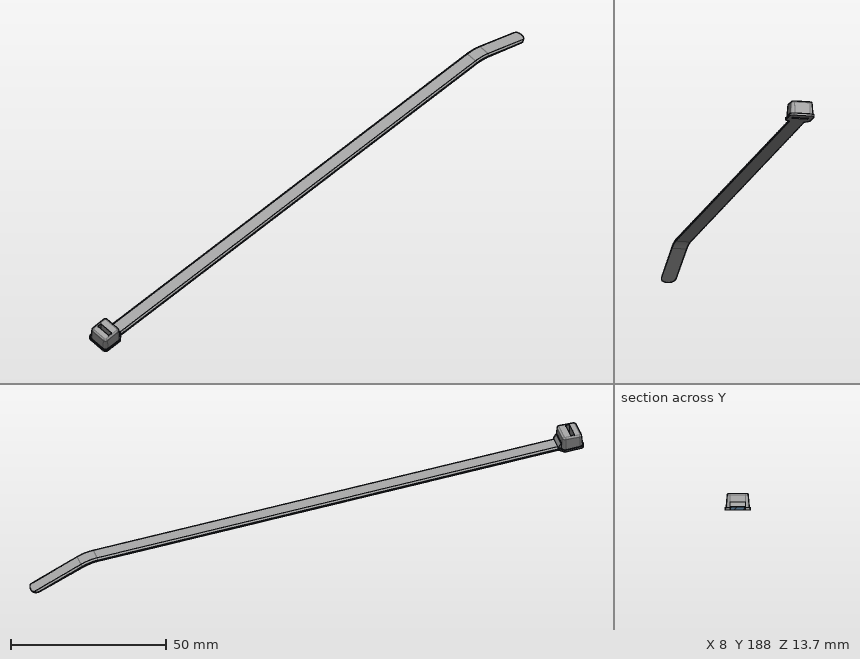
import cadquery as cq
import math

total_length = 188.0
strap_width = 4.9
strap_thickness = 1.1
strap_bevel = 0.5

bend_start = 165.8
bend_length = 5.0
bend_angle = 24.0
tip_thickness = 0.8
tip_radius = 2.35

flange_width = 8.0
flange_depth = 8.5
flange_thickness = 0.8
flange_front_radius = 1.1
flange_back_chamfer = 1.7

head_width = 7.7
head_depth = 7.3
head_front = 0.2
head_height = 5.5
head_draft = 5.0
head_slope = 4.0
head_corner_radius = 1.3
head_top_radius = 0.5

ramp_height = 1.5

slot_clearance = 0.2
slot_depth = 1.3
slot_center = 3.5

slot_width = strap_width + slot_clearance
head_center = head_front + head_depth / 2
head_back = head_front + head_depth
head_back_top = head_back - head_height * math.tan(math.radians(head_draft))
bend_turn = math.radians(bend_angle)
bend_radius = bend_length / math.sin(bend_turn)
bend_end = bend_start + bend_length
bend_drop = bend_radius * (1 - math.cos(bend_turn))
tail_end = total_length - strap_thickness * math.sin(bend_turn)
tail_drop = bend_drop + (tail_end - bend_end) * math.tan(bend_turn)


def strap_path():
    """Lower centre line of the strap, from inside the head to the tip of the tail."""
    bend_middle = (
        bend_start + bend_radius * math.sin(bend_turn / 2),
        bend_radius * (math.cos(bend_turn / 2) - 1),
    )
    return (
        cq.Workplane("YZ")
        .moveTo(head_center, 0)
        .lineTo(bend_start, 0)
        .threePointArc(bend_middle, (bend_end, -bend_drop))
        .lineTo(tail_end, -tail_drop)
    )


def strap_section():
    """Cross-section of the strap, with bevelled upper edges."""
    half_width = strap_width / 2
    shoulder = strap_thickness - strap_bevel
    return (
        cq.Workplane("XZ", origin=(0, head_center, 0))
        .moveTo(-half_width, 0)
        .lineTo(half_width, 0)
        .lineTo(half_width, shoulder)
        .lineTo(half_width - strap_bevel, strap_thickness)
        .lineTo(strap_bevel - half_width, strap_thickness)
        .lineTo(-half_width, shoulder)
        .close()
    )


def tip_outline():
    """Long prism, square to the tail, whose rounded end is the outline of the tip."""
    return (
        cq.Workplane("XY")
        .center(0, -total_length)
        .rect(strap_width, 2 * total_length)
        .extrude(total_length, both=True)
        .edges("|Z and >Y")
        .fillet(tip_radius)
        .rotate((0, 0, 0), (1, 0, 0), -bend_angle)
        .translate((0, tail_end, -tail_drop))
    )


def tail_relief():
    """Wedge taken from under the tail, which thins it towards the tip."""
    thinning = strap_thickness - tip_thickness
    return (
        cq.Workplane("YZ")
        .moveTo(bend_end, -bend_drop)
        .lineTo(tail_end, -tail_drop)
        .lineTo(tail_end + thinning * math.sin(bend_turn), thinning * math.cos(bend_turn) - tail_drop)
        .close()
        .extrude(strap_width, both=True)
    )


def make_strap():
    return strap_section().sweep(strap_path()).intersect(tip_outline()).cut(tail_relief())


def make_flange():
    return (
        cq.Workplane("XY")
        .center(0, flange_depth / 2)
        .rect(flange_width, flange_depth)
        .extrude(flange_thickness)
        .edges("|Z and <Y")
        .fillet(flange_front_radius)
        .edges("|Z and >Y")
        .chamfer(flange_back_chamfer)
    )


def make_head_block():
    base = cq.Sketch().rect(head_width, head_depth).vertices().fillet(head_corner_radius)
    block = (
        cq.Workplane("XY")
        .center(0, head_center)
        .placeSketch(base)
        .extrude(head_height, taper=head_draft)
    )
    above_slope = (
        cq.Workplane("XY")
        .box(2 * head_width, 4 * head_depth, head_height, centered=(True, True, False))
        .rotate((0, 0, 0), (1, 0, 0), head_slope)
        .translate((0, head_back_top, head_height))
    )
    return block.cut(above_slope).faces(">Z").edges().fillet(head_top_radius)


def make_ramp():
    ramp_top = strap_thickness + ramp_height
    return (
        cq.Workplane("YZ")
        .moveTo(head_center, flange_thickness)
        .lineTo(flange_depth, flange_thickness)
        .lineTo(flange_depth, strap_thickness)
        .lineTo(head_back, ramp_top)
        .lineTo(head_center, ramp_top)
        .close()
        .extrude(strap_width / 2, both=True)
    )


def make_slot():
    return cq.Workplane("XY").center(0, slot_center).rect(slot_width, slot_depth).extrude(head_height)


def make_tie():
    """Strap, flange, ramp and head moulded as one solid, with the slot cut through."""
    return (
        make_head_block()
        .union(make_flange())
        .union(make_ramp())
        .union(make_strap())
        .cut(make_slot())
    )


tie = make_tie()

result = cq.Compound.makeCompound([tie.solids().val()])